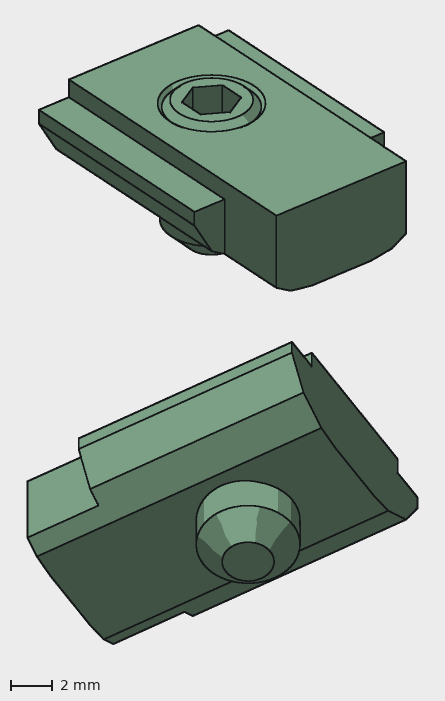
import cadquery as cq
import math

body_length = 16.0
body_height = 4.8
tongue_width = 8.0
flange_width = 11.7
flange_length = 12.0
flange_top = 3.8
flange_side_bottom = 3.02

steep_facet_angle = math.radians(60)
shallow_facet_angle = math.radians(30)
steep_facet_bottom = 1.16
shallow_facet_bottom = 0.2
bottom_flat_width = 3.65

screw_x = 6.0
screw_diameter = 5.0
screw_length = 8.0
screw_top = 5.0
screw_bottom = screw_top - screw_length
point_diameter = 2.5
point_length = (screw_diameter - point_diameter) / 2
head_face_diameter = 4.0
socket_across_flats = 2.5
socket_depth = 2.5

countersink_diameter = 5.2


def make_body():
    """Extrude the faceted section along X, then narrow it beyond the flanges."""
    half_flange = flange_width / 2
    half_flat = bottom_flat_width / 2
    half_tongue = tongue_width / 2
    steep_run = (flange_side_bottom - steep_facet_bottom) / math.tan(steep_facet_angle)
    shallow_run = (steep_facet_bottom - shallow_facet_bottom) / math.tan(shallow_facet_angle)
    steep_end = half_flange - steep_run
    shallow_end = steep_end - shallow_run

    half_section = [
        (half_flat, 0),
        (shallow_end, shallow_facet_bottom),
        (steep_end, steep_facet_bottom),
        (half_flange, flange_side_bottom),
        (half_flange, flange_top),
        (half_tongue, flange_top),
        (half_tongue, body_height),
    ]
    mirrored_half = [(-y, z) for y, z in reversed(half_section)]
    section = half_section + mirrored_half
    flanged = cq.Workplane("YZ").polyline(section).close().extrude(body_length)

    tongue = cq.Workplane("XY").box(body_length, tongue_width, body_height, centered=(False, True, False))
    flange_zone = cq.Workplane("XY").box(flange_length, flange_width, body_height, centered=(False, True, False))
    return flanged.intersect(tongue.union(flange_zone))


def make_countersink():
    """Cone that narrows at 45 degrees from the top face to its tip."""
    radius = countersink_diameter / 2
    profile = [
        (0, body_height),
        (radius, body_height),
        (0, body_height - radius),
    ]
    return revolve_about_screw_axis(profile)


def make_screw():
    """Solid of the screw, chamfered at the top and tapered at the point."""
    radius = screw_diameter / 2
    head_face_radius = head_face_diameter / 2
    head_chamfer = radius - head_face_radius
    profile = [
        (0, screw_bottom),
        (point_diameter / 2, screw_bottom),
        (radius, screw_bottom + point_length),
        (radius, screw_top - head_chamfer),
        (head_face_radius, screw_top),
        (0, screw_top),
    ]
    return revolve_about_screw_axis(profile)


def make_socket():
    """Hexagon socket with two of its corners along X."""
    across_corners = socket_across_flats / math.cos(math.pi / 6)
    socket_plane = cq.Workplane("XY", origin=(screw_x, 0, screw_top))
    return socket_plane.polygon(6, across_corners).extrude(-socket_depth)


def revolve_about_screw_axis(profile):
    """Turn a (radius, z) outline about the vertical axis of the screw."""
    axis_plane = cq.Workplane("XZ", origin=(screw_x, 0, 0))
    return axis_plane.polyline(profile).close().revolve(360, (0, 0), (0, 1))


result = make_body().cut(make_countersink()).union(make_screw()).cut(make_socket())